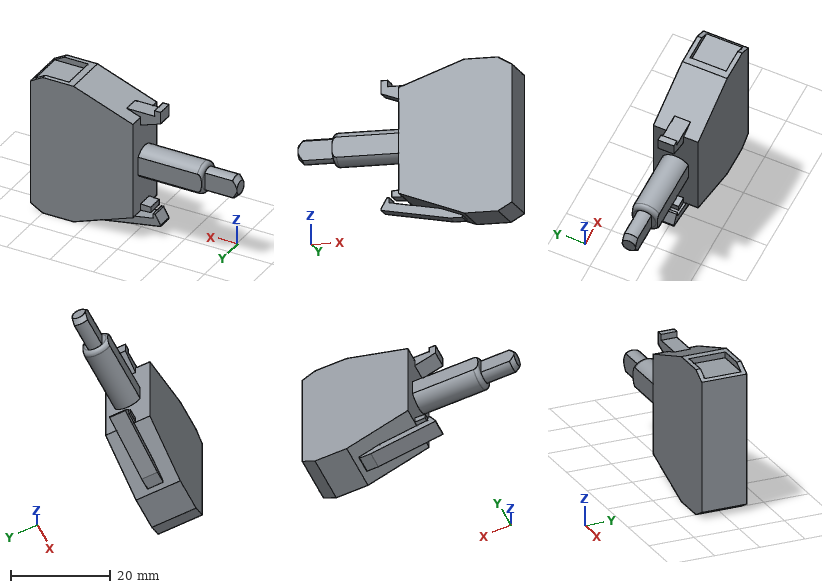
import math

import cadquery as cq


BODY_LENGTH = 23.59
BODY_WIDTH = 10.0
BODY_HEIGHT = 32.0
FRONT_HEIGHT = 22.0
FRONT_SLOPE_LENGTH = 13.65
REAR_CHAMFER_LENGTH = 2.86
REAR_CHAMFER_ANGLE = 30.0

RECESS_START = 15.25
RECESS_WIDTH = 8.0
RECESS_DEPTH = 1.27

STUD_LENGTH = 22.0
SHANK_LENGTH = 14.6
SHANK_RADIUS = 3.5
SHANK_FLAT_WIDTH = 5.6
SHANK_FILLET = 1.0
TIP_RADIUS = 2.5
TIP_FLAT_WIDTH = 3.0
TIP_CHAMFER = 1.0

CLIP_WIDTH = 3.55
CLIP_REACH = 4.6

UPPER_CLIP_TOP = 13.48
UPPER_CLIP_LEDGE = 12.17
UPPER_CLIP_NOSE_LENGTH = 1.4
UPPER_CLIP_NOSE_BOTTOM = 10.75
UPPER_CLIP_ROOT_BOTTOM = 9.14

NUB_REACH = 2.33
NUB_CENTER_Z = -10.19
NUB_END_HEIGHT = 1.24
NUB_ROOT_HEIGHT = 1.5

LATCH_ANGLE = 10.0
LATCH_TOP = -10.94
LATCH_NOSE_BOTTOM = -13.46
LATCH_NOSE_EDGE_HEIGHT = 0.3
LATCH_CREST_START = -3.33
LATCH_CREST_END = -2.85
LATCH_LEDGE = -12.0
LATCH_END = 12.4

half_height = BODY_HEIGHT / 2
half_front_height = FRONT_HEIGHT / 2


def extrude_profile(points, width):
    """Extrude an XZ outline symmetrically about the plane Y = 0."""
    return cq.Workplane("XZ").polyline(points).close().extrude(width / 2, both=True)


def make_housing():
    chamfer_height = REAR_CHAMFER_LENGTH * math.tan(math.radians(REAR_CHAMFER_ANGLE))
    upper_half = [
        (0, half_front_height),
        (FRONT_SLOPE_LENGTH, half_height),
        (BODY_LENGTH - REAR_CHAMFER_LENGTH, half_height),
        (BODY_LENGTH, half_height - chamfer_height),
    ]
    lower_half = [(x, -z) for x, z in reversed(upper_half)]
    housing = extrude_profile(upper_half + lower_half, BODY_WIDTH)
    recess = cq.Workplane("XY").box(
        BODY_LENGTH - RECESS_START, RECESS_WIDTH, RECESS_DEPTH, centered=(False, True, False)
    )
    return housing.cut(recess.translate((RECESS_START, 0, half_height - RECESS_DEPTH)))


def make_stud_step(length, radius, flat_width):
    """Round bar from the housing face toward -X, and the block that leaves its two flats."""
    bar = cq.Workplane("YZ").circle(radius).extrude(-length)
    flat_block = cq.Workplane("YZ").rect(flat_width, 2 * radius).extrude(-length)
    return bar, flat_block


def make_stud():
    shank, shank_block = make_stud_step(SHANK_LENGTH, SHANK_RADIUS, SHANK_FLAT_WIDTH)
    shank = shank.faces("<X").edges().fillet(SHANK_FILLET).intersect(shank_block)
    tip, tip_block = make_stud_step(STUD_LENGTH, TIP_RADIUS, TIP_FLAT_WIDTH)
    tip = tip.faces("<X").edges().chamfer(TIP_CHAMFER).intersect(tip_block)
    return shank.union(tip)


def make_upper_clip():
    """Hooked clip whose ledge runs back until it meets the sloping shoulder of the housing."""
    slope = (half_height - half_front_height) / FRONT_SLOPE_LENGTH
    ledge_end = (UPPER_CLIP_LEDGE - half_front_height) / slope
    nose_back = -CLIP_REACH + UPPER_CLIP_NOSE_LENGTH
    return extrude_profile(
        [
            (-CLIP_REACH, UPPER_CLIP_NOSE_BOTTOM),
            (-CLIP_REACH, UPPER_CLIP_TOP),
            (nose_back, UPPER_CLIP_TOP),
            (nose_back, UPPER_CLIP_LEDGE),
            (ledge_end, UPPER_CLIP_LEDGE),
            (ledge_end, UPPER_CLIP_ROOT_BOTTOM),
            (0, UPPER_CLIP_ROOT_BOTTOM),
        ],
        CLIP_WIDTH,
    )


def make_nub():
    """Short tapered stop above the latch."""
    return extrude_profile(
        [
            (0, NUB_CENTER_Z - NUB_ROOT_HEIGHT / 2),
            (-NUB_REACH, NUB_CENTER_Z - NUB_END_HEIGHT / 2),
            (-NUB_REACH, NUB_CENTER_Z + NUB_END_HEIGHT / 2),
            (0, NUB_CENTER_Z + NUB_ROOT_HEIGHT / 2),
        ],
        CLIP_WIDTH,
    )


def make_latch():
    """Sprung arm that slopes down from its hooked nose to the underside of the housing."""
    slope = math.tan(math.radians(LATCH_ANGLE))
    underside_end = -CLIP_REACH + (LATCH_NOSE_BOTTOM + half_height) / slope
    return extrude_profile(
        [
            (-CLIP_REACH, LATCH_NOSE_BOTTOM),
            (-CLIP_REACH, LATCH_NOSE_BOTTOM + LATCH_NOSE_EDGE_HEIGHT),
            (LATCH_CREST_START, LATCH_TOP),
            (LATCH_CREST_END, LATCH_TOP),
            (LATCH_CREST_END, LATCH_LEDGE),
            (LATCH_END, LATCH_LEDGE - (LATCH_END - LATCH_CREST_END) * slope),
            (LATCH_END, -half_height),
            (underside_end, -half_height),
        ],
        CLIP_WIDTH,
    )


result = make_housing()
for feature in (make_stud(), make_upper_clip(), make_nub(), make_latch()):
    result = result.union(feature)